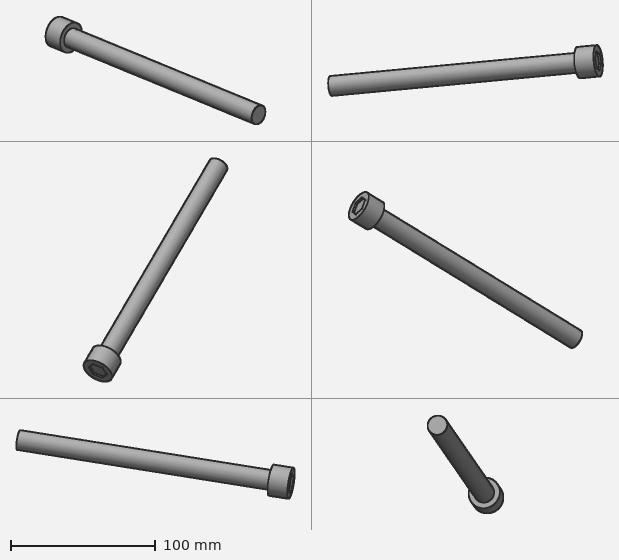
import cadquery as cq
import math

head_diameter = 22.0
head_length = 14.0
shank_diameter = 14.0
shank_length = 180.0
tip_chamfer = 0.2
socket_sides = 6
socket_across_flats = 12.0
socket_depth = 1.5


def axial_disc(start_x, diameter, length):
    """Solid cylinder running along +X from start_x."""
    return cq.Workplane("YZ", origin=(start_x, 0, 0)).circle(diameter / 2).extrude(length)


def make_head():
    """Plain cylindrical head."""
    return axial_disc(-head_length, head_diameter, head_length)


def make_shank():
    """Plain shank with a small chamfer around its free end."""
    return axial_disc(0, shank_diameter, shank_length).faces(">X").chamfer(tip_chamfer)


def make_socket():
    """Shallow hexagonal key socket with two corners on the Y axis."""
    across_corners = socket_across_flats / math.cos(math.pi / socket_sides)
    head_face = cq.Workplane("YZ", origin=(-head_length, 0, 0))
    return head_face.polygon(socket_sides, across_corners).extrude(socket_depth)


result = make_head().union(make_shank()).cut(make_socket())